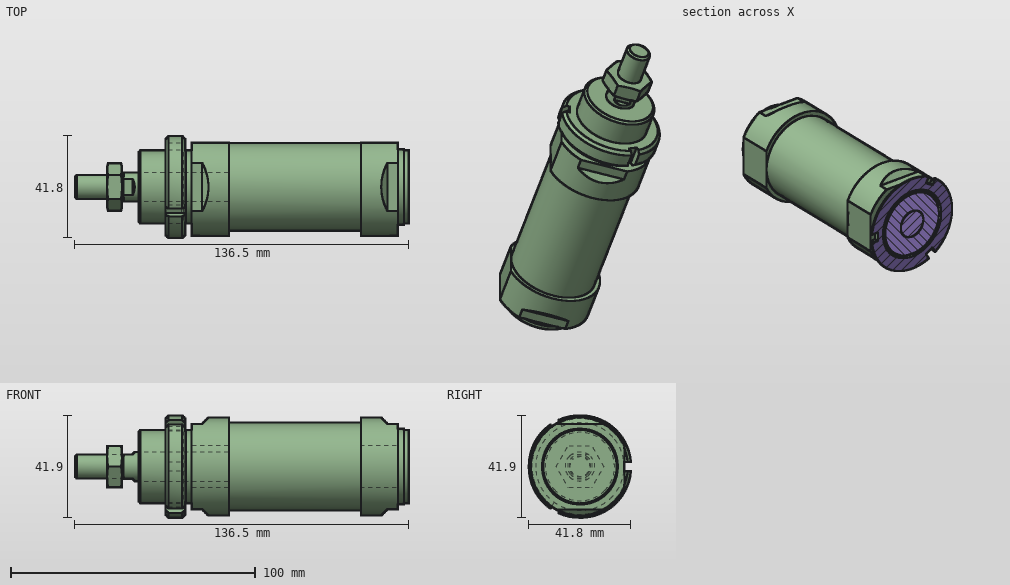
import cadquery as cq
import math


toward_tip = -1
toward_rear = 1

rod_tip_x = 0.0
hex_nut_start = 13.2
hex_nut_end = 19.2
shank_start = 19.9
front_cap_start = 26.0
ring_nut_start = 37.0
ring_nut_end = 45.2
collar_start = 45.5
front_head_start = 47.8
barrel_start = 63.0
barrel_end = 116.8
rear_head_end = 132.0
rear_boss_step = 134.5
overall_length = 136.5

thread_diameter = 10.0
rod_tip_chamfer = 1.0
relief_diameter = 8.7
shank_diameter = 12.0
wrench_flat_width = 10.0
wrench_flat_end = 23.5

hex_across_flats = 16.9
hex_side_count = 6
hex_chamfer_angle = 15.0

ring_nut_diameter = 41.9
ring_chamfer = 1.4
slot_count = 3
slot_width = 3.7
slot_depth = 3.0

barrel_diameter = 36.0
head_diameter = 40.1
head_back_distance = 18.2
head_flat_distance = 17.5
head_flat_length = 4.2
neck_diameter = 30.0
neck_chamfer = 1.0
neck_relief_diameter = neck_diameter - 2 * neck_chamfer
neck_relief_width = 1.0
rear_boss_diameter = 31.0
rear_tip_diameter = 30.0


def x_cylinder(diameter, start, end):
    """Cylinder along the X axis between two stations."""
    return cq.Workplane("YZ", origin=(start, 0, 0)).circle(diameter / 2).extrude(end - start)


def flat_cutter(start, flat_end, flat_distance, body_diameter, outward):
    """Cutter for one +Z flat that runs out at 45 degrees; outward is the X direction of its open end."""
    width = body_diameter
    rise = body_diameter / 2
    runout = flat_end - outward * (rise - flat_distance)
    profile = [(start, flat_distance), (flat_end, flat_distance), (runout, rise), (start, rise)]
    return cq.Workplane("XZ", origin=(0, width / 2, 0)).polyline(profile).close().extrude(width)


def cut_opposite_flats(body, cutter):
    """Cut the +Z flat and its mirror image on the -Z side."""
    return body.cut(cutter).cut(cutter.mirror("XY"))


def make_rod():
    thread = x_cylinder(thread_diameter, rod_tip_x, hex_nut_end).faces("<X").chamfer(rod_tip_chamfer)
    relief = x_cylinder(relief_diameter, hex_nut_end, shank_start)
    shank = x_cylinder(shank_diameter, shank_start, barrel_start)
    cutter = flat_cutter(shank_start, wrench_flat_end, wrench_flat_width / 2, shank_diameter, toward_tip)
    return thread.union(relief).union(cut_opposite_flats(shank, cutter))


def make_hex_nut():
    length = hex_nut_end - hex_nut_start
    across_corners = hex_across_flats / math.cos(math.pi / hex_side_count)
    corner_radius = across_corners / 2
    face_radius = hex_across_flats / 2
    chamfer_length = (corner_radius - face_radius) * math.tan(math.radians(hex_chamfer_angle))
    prism = cq.Workplane("YZ", origin=(hex_nut_start, 0, 0)).polygon(hex_side_count, across_corners).extrude(length)
    envelope = (
        x_cylinder(across_corners, hex_nut_start, hex_nut_end)
        .faces("<X or >X")
        .chamfer(chamfer_length, corner_radius - face_radius)
    )
    return prism.intersect(envelope).cut(x_cylinder(thread_diameter, hex_nut_start, hex_nut_end))


def make_ring_nut():
    length = ring_nut_end - ring_nut_start
    nut = x_cylinder(ring_nut_diameter, ring_nut_start, ring_nut_end).faces("<X or >X").chamfer(ring_chamfer)
    nut = nut.cut(x_cylinder(neck_diameter, ring_nut_start, ring_nut_end))
    slot = cq.Workplane("XY").box(length, 2 * slot_depth, slot_width)
    slot = slot.translate(((ring_nut_start + ring_nut_end) / 2, ring_nut_diameter / 2, 0))
    for i in range(slot_count):
        nut = nut.cut(slot.rotate((0, 0, 0), (1, 0, 0), i * 360 / slot_count))
    return nut


def make_head(start, end, outward):
    """Cap head with one long flat toward +Y and wrench flats at its outer end."""
    head = x_cylinder(head_diameter, start, end)
    back_cutter = cq.Workplane("XY").box(
        end - start, head_diameter, head_diameter, centered=(False, False, True)
    )
    head = head.cut(back_cutter.translate((start, head_back_distance, 0)))
    outer_end = start if outward == toward_tip else end
    flat_end = outer_end - outward * head_flat_length
    cutter = flat_cutter(outer_end, flat_end, head_flat_distance, head_diameter, outward)
    return cut_opposite_flats(head, cutter)


def make_front_cap():
    relief_end = collar_start - neck_chamfer
    relief_start = relief_end - neck_relief_width
    thread = x_cylinder(neck_diameter, front_cap_start, relief_start).faces("<X").chamfer(neck_chamfer)
    relief = x_cylinder(neck_relief_diameter, relief_start, relief_end)
    collar = x_cylinder(neck_diameter, relief_end, front_head_start).faces("<X").chamfer(neck_chamfer)
    head = make_head(front_head_start, barrel_start, toward_tip)
    cap = thread.union(relief).union(collar).union(head)
    return cap.cut(x_cylinder(shank_diameter, front_cap_start, barrel_start))


def make_barrel():
    return x_cylinder(barrel_diameter, barrel_start, barrel_end)


def make_rear_cap():
    boss = x_cylinder(rear_boss_diameter, rear_head_end, rear_boss_step)
    tip = x_cylinder(rear_tip_diameter, rear_boss_step, overall_length)
    return make_head(barrel_end, rear_head_end, toward_rear).union(boss).union(tip)


rod = make_rod()
hex_nut = make_hex_nut()
ring_nut = make_ring_nut()
front_cap = make_front_cap()
barrel = make_barrel()
rear_cap = make_rear_cap()

result = cq.Compound.makeCompound([
    rod.val(),
    hex_nut.val(),
    ring_nut.val(),
    front_cap.val(),
    barrel.val(),
    rear_cap.val(),
])